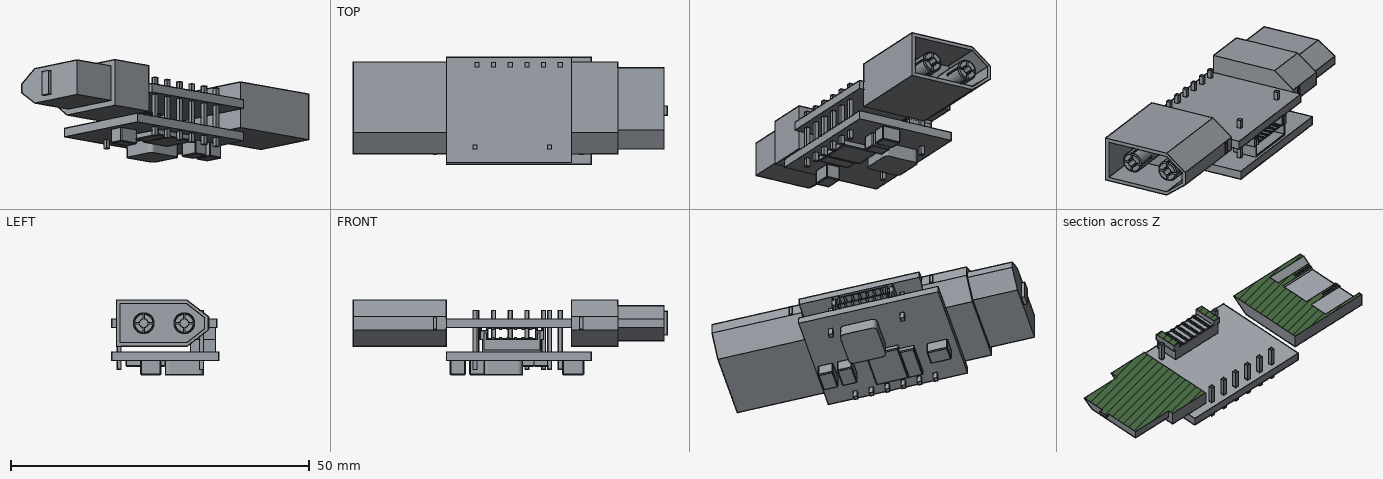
import cadquery as cq


hood_end = 15.6
socket_start = 36.5
socket_end = 44.3
tongue_end = 52.05
total_length = 52.6
total_height = 12.5

body_half_width = 7.7
body_half_height = 3.9
body_shoulder_y = -4.1
body_tip_half_height = 1.15

hood_wall = 0.65
hood_depth = 7.9
hood_tip_half_height = 0.95

tongue_back_y = 6.75
tongue_tip_y = -6.9
tongue_half_height = 2.95
tongue_shoulder_y = -3.7
tongue_tip_half_height = 0.75

end_plate_width = 1.6
end_plate_height = 4.0
end_plate_y = -0.45

rib_starts = (13.45, 37.95)
rib_width = 0.5
rib_height = 2.0
rib_rise = 0.15

contact_ys = (3.1, -3.7)
contact_tip_x = 0.9
contact_radius = 1.75
contact_bore_radius = 0.75
contact_chamfer = 0.2
contact_slot_width = 0.3
contact_slot_depth = 3.7

board_thickness = 1.45
board_back_y = 8.45
upper_front_y = -9.15
upper_bottom = -board_thickness / 2
lower_front_y = -9.45
lower_right_x = 39.9
lower_top = -4.8
lower_bottom = lower_top - board_thickness

pin_size = 0.7
pin_top = 2.15
pin_bottom = -7.75
back_pin_count = 6
back_pin_pitch = 2.8
back_pin_start_x = 20.75
back_pin_y = 7.2
front_pin_xs = (20.4, 32.9)
front_pin_y = -6.6

jack_center_x = 26.55
jack_width = 9.9
jack_front_y = -8.95
jack_back_y = -4.7
jack_back_wall = 0.4
jack_step_z = -2.75
jack_floor_z = -4.5
jack_side_wall = 0.25
lug_width = 1.3
lug_overhang = 0.35
lug_groove_width = 0.85
lug_groove_wall = 0.2
lug_groove_z = -1.25
key_slot_width = 0.4
key_slot_top = -1.65
terminal_count = 6
terminal_pitch = 1.25
terminal_width = 0.35
terminal_height = 0.15
tongue_plate_thickness = 0.15
roof_thickness = 0.15
inner_front_gap = 0.15

underside_bottom = body_half_height - total_height
coil_x = 22.0
coil_y = -6.9
coil_side = 6.35
coil_corner_radius = 0.75

capacitor_edge = 0.15
capacitor_length = 3.4
capacitor_width = 2.6
capacitor_y = 0.185
capacitor_xs = (16.2, 19.5)
end_capacitor_x = 35.05
end_capacitor_y = 0.6
end_capacitor_length = 3.6

chip_bottom = -7.2
chip_back_y = 6.05
chip_edge = 0.15
wide_chip = (24.75, 30.3, -0.45)
narrow_chip = (30.3, 32.85, 0.3)


def block(x0, x1, y0, y1, z0, z1):
    """Box between two opposite corners."""
    return cq.Workplane("XY").box(x1 - x0, y1 - y0, z1 - z0, centered=False).translate((x0, y0, z0))


def plug_prism(x0, x1, back_y, tip_y, shoulder_y, half_height, tip_half_height):
    """Five-sided plug section, narrowed toward its -Y tip, run along X."""
    outline = [
        (back_y, -half_height),
        (back_y, half_height),
        (shoulder_y, half_height),
        (tip_y, tip_half_height),
        (tip_y, -tip_half_height),
        (shoulder_y, -half_height),
    ]
    return cq.Workplane("YZ", origin=(x0, 0, 0)).polyline(outline).close().extrude(x1 - x0)


def plug_body(x0, x1):
    return plug_prism(
        x0, x1, body_half_width, -body_half_width, body_shoulder_y, body_half_height, body_tip_half_height
    )


def plug_contact(y):
    """Hollow round contact, split into four fingers at its tip."""
    length = hood_depth - contact_tip_x
    contact = cq.Workplane("YZ").circle(contact_radius).extrude(length)
    contact = contact.faces("<X").edges().chamfer(contact_chamfer)
    contact = contact.cut(cq.Workplane("YZ").circle(contact_bore_radius).extrude(contact_slot_depth))
    half_slot = contact_slot_width / 2
    reach = contact_radius
    contact = contact.cut(block(0, contact_slot_depth, -half_slot, half_slot, -reach, reach))
    contact = contact.cut(block(0, contact_slot_depth, -reach, reach, -half_slot, half_slot))
    return contact.translate((contact_tip_x, y, 0))


def hooded_plug():
    inner_half_width = body_half_width - hood_wall
    hood = plug_body(0, hood_end).cut(
        plug_prism(
            0,
            hood_depth,
            inner_half_width,
            -inner_half_width,
            body_shoulder_y,
            body_half_height - hood_wall,
            hood_tip_half_height,
        )
    )
    for y in contact_ys:
        hood = hood.union(plug_contact(y))
    return hood


def tongue_plug():
    tongue = plug_prism(
        socket_end,
        tongue_end,
        tongue_back_y,
        tongue_tip_y,
        tongue_shoulder_y,
        tongue_half_height,
        tongue_tip_half_height,
    )
    end_plate = block(
        tongue_end,
        total_length,
        end_plate_y - end_plate_width / 2,
        end_plate_y + end_plate_width / 2,
        -end_plate_height / 2,
        end_plate_height / 2,
    )
    return plug_body(socket_start, socket_end).union(tongue).union(end_plate)


def tip_rib(x):
    """Thin upright rib on the narrow front face of a plug body."""
    front_y = -body_half_width
    return block(x, x + rib_width, front_y - rib_rise, front_y, -rib_height / 2, rib_height / 2)


def header_pin(x, y):
    half = pin_size / 2
    return block(x - half, x + half, y - half, y + half, pin_bottom, pin_top)


def jack_lug():
    """Left shoulder of the jack: grooved on top, with a key slot below."""
    outer_x = jack_center_x - jack_width / 2 - lug_overhang
    lug = block(outer_x, outer_x + lug_width, jack_front_y, jack_back_y, jack_step_z, upper_bottom)
    groove_x = outer_x + lug_groove_wall
    groove = block(
        groove_x, groove_x + lug_groove_width, jack_front_y, jack_back_y, lug_groove_z, upper_bottom
    )
    slot_x = jack_center_x - jack_width / 2 + jack_side_wall
    slot = block(
        slot_x,
        slot_x + key_slot_width,
        jack_front_y,
        jack_back_y - jack_back_wall,
        jack_step_z,
        key_slot_top,
    )
    return lug.cut(groove).cut(slot)


def signal_jack():
    left_x = jack_center_x - jack_width / 2
    right_x = jack_center_x + jack_width / 2
    inner_back_y = jack_back_y - jack_back_wall
    jack = block(left_x, right_x, jack_front_y, jack_back_y, lower_top, jack_step_z)
    jack = jack.cut(
        block(
            left_x + jack_side_wall,
            right_x - jack_side_wall,
            jack_front_y,
            inner_back_y,
            jack_floor_z,
            jack_step_z,
        )
    )
    lug = jack_lug()
    jack = jack.union(lug).union(lug.mirror("YZ", (jack_center_x, 0, 0)))

    front_y = jack_front_y + inner_front_gap
    inner_half_width = jack_width / 2 + lug_overhang - lug_width
    inner_left_x = jack_center_x - inner_half_width
    inner_right_x = jack_center_x + inner_half_width
    tongue_top = jack_step_z + tongue_plate_thickness
    roof_bottom = upper_bottom - roof_thickness
    jack = jack.union(block(inner_left_x, inner_right_x, front_y, jack_back_y, jack_step_z, tongue_top))
    jack = jack.union(block(inner_left_x, inner_right_x, front_y, jack_back_y, roof_bottom, upper_bottom))

    first_x = jack_center_x - terminal_pitch * (terminal_count - 1) / 2
    for i in range(terminal_count):
        x0 = first_x + i * terminal_pitch - terminal_width / 2
        x1 = x0 + terminal_width
        for bottom_z in (tongue_top, roof_bottom - terminal_height):
            jack = jack.union(
                block(x0, x1, front_y, jack_back_y, bottom_z, bottom_z + terminal_height)
            )
    return jack


def coil():
    body = block(coil_x, coil_x + coil_side, coil_y, coil_y + coil_side, underside_bottom, lower_bottom)
    return body.edges("|Z").fillet(coil_corner_radius)


def capacitor(x, y, size_x, size_y):
    body = block(x, x + size_x, y, y + size_y, underside_bottom, lower_bottom)
    return body.edges("|Z or <Z").chamfer(capacitor_edge)


def chip(left_x, right_x, front_y):
    body = block(left_x, right_x, front_y, chip_back_y, chip_bottom, lower_bottom)
    return body.faces("<Z").edges().chamfer(chip_edge)


upper_board = block(hood_end, socket_start, upper_front_y, board_back_y, upper_bottom, -upper_bottom)
lower_board = block(hood_end, lower_right_x, lower_front_y, board_back_y, lower_bottom, lower_top)

result = upper_board.union(lower_board).union(hooded_plug()).union(tongue_plug())
for rib_x in rib_starts:
    result = result.union(tip_rib(rib_x))

for i in range(back_pin_count):
    result = result.union(header_pin(back_pin_start_x + i * back_pin_pitch, back_pin_y))
for pin_x in front_pin_xs:
    result = result.union(header_pin(pin_x, front_pin_y))

result = result.union(signal_jack()).union(coil())
for capacitor_x in capacitor_xs:
    result = result.union(capacitor(capacitor_x, capacitor_y, capacitor_width, capacitor_length))
result = result.union(
    capacitor(end_capacitor_x, end_capacitor_y, end_capacitor_length, capacitor_width)
)
result = result.union(chip(*wide_chip)).union(chip(*narrow_chip))